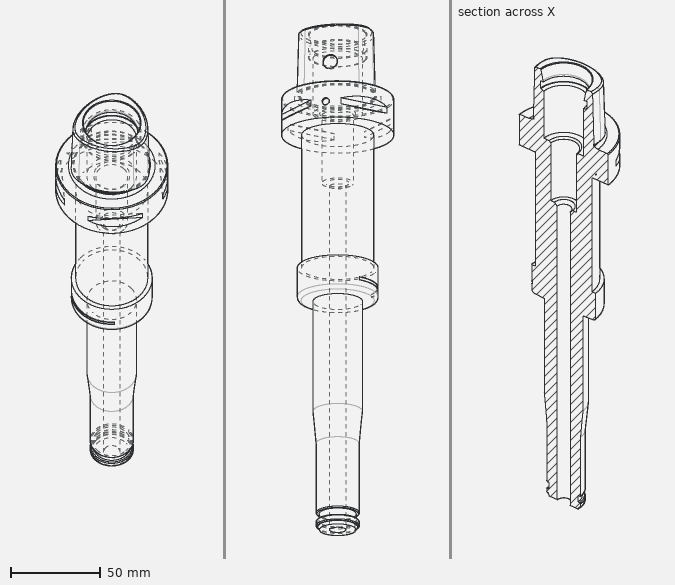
import cadquery as cq
import math

total_height = 293.5

shank_height = 38.0
shank_mean_radius = 22.0
shank_taper = 1 / 40
lobe_offset = 1.4
flat_half_angle = 33.5
lobe_count = 3
spline_steps = 8
shank_top_chamfer = 1.2

neck_height = 1.8
neck_radius = 21.0
root_height = 1.0
root_radius = 21.7
root_base_radius = 24.5

flange_diameter = 63.0
flange_height = 21.7
flange_chamfer = 0.5

slot_count = 4
slot_floor_distance = 27.5
slot_floor_height = 3.5
slot_wall_rise = 0.5
slot_drop = 12.0

shank_dimple_diameter = 8.2
shank_dimple_drop = 22.5
flange_dimple_diameter = 4.0
dimple_depth = 1.5
dimple_tip_angle = 90.0

body_diameter = 40.5
collar_diameter = 45.5
collar_top = 155.3
collar_bottom = 135.3
collar_edge_radius = 2.3
collar_underside_rise = 0.5
stem_diameter = 28.0
cone_top = 70.0
cone_bottom = 51.0
tip_diameter = 24.5
tip_groove_diameter = 20.8
tip_groove_top = 9.5
tip_groove_bottom = 5.3
tip_edge_chamfer = 0.5
nose_base_diameter = 22.3
nose_diameter = 20.5
nose_height = 1.8

mark_bottom = 141.8
mark_height = 1.8
mark_depth = 0.3

mouth_diameter = 33.0
entry_diameter = 32.0
mouth_chamfer = (mouth_diameter - entry_diameter) / 2
entry_depth = 7.3
lip_diameter = 29.0
lip_height = 1.2
relief_diameter = 33.0
relief_height = 5.0
main_bore_diameter = 28.0
seat_height = 1.0
main_bore_depth = 47.0
pilot_mouth_diameter = 20.3
pilot_diameter = 18.0
pilot_chamfer = (pilot_mouth_diameter - pilot_diameter) / 2
pilot_depth = 88.0
channel_mouth_diameter = 13.0
channel_diameter = 9.0
channel_chamfer = (channel_mouth_diameter - channel_diameter) / 2

flange_top = total_height - shank_height
flange_bottom = flange_top - flange_height
flange_radius = flange_diameter / 2


def polygon_point(mean_radius, angle):
    """Point of the three-lobed, constant-width outline; a lobe points to +X."""
    t = math.radians(angle)
    x = mean_radius * math.cos(t) + lobe_offset * (2 * math.cos(2 * t) - math.cos(4 * t))
    y = mean_radius * math.sin(t) - lobe_offset * (2 * math.sin(2 * t) + math.sin(4 * t))
    return x, y


def polygon_wire(mean_radius, z):
    """Closed outline of alternating lobe and flat curves."""
    pitch = 360 / lobe_count
    spans = []
    for lobe in range(lobe_count):
        lobe_start = lobe * pitch - pitch / 2 + flat_half_angle
        lobe_end = lobe * pitch + pitch / 2 - flat_half_angle
        spans += [(lobe_start, lobe_end), (lobe_end, lobe_end + 2 * flat_half_angle)]
    edges = []
    for start, end in spans:
        angles = [start + (end - start) * i / spline_steps for i in range(spline_steps + 1)]
        points = [cq.Vector(*polygon_point(mean_radius, a), z) for a in angles]
        edges.append(cq.Edge.makeSpline(points))
    return cq.Wire.assembleEdges(edges)


def polygon_shank():
    base = flange_top + neck_height
    chamfer_start = total_height - shank_top_chamfer
    top_radius = shank_mean_radius - shank_taper * shank_height
    lower = polygon_wire(shank_mean_radius, base)
    upper = polygon_wire(top_radius, chamfer_start)
    rim = polygon_wire(top_radius - shank_top_chamfer, total_height)
    side = cq.Solid.makeLoft([lower, upper], True)
    edge = cq.Solid.makeLoft([upper, rim], True)
    return cq.Workplane(side).union(cq.Workplane(edge))


def revolved(profile):
    """Solid of revolution about Z from (radius, z) points."""
    return cq.Workplane("XZ").polyline(profile).close().revolve(360, (0, 0), (0, 1))


def turned_body():
    collar_radius = collar_diameter / 2
    tip_radius = tip_diameter / 2
    groove_radius = tip_groove_diameter / 2
    body = revolved([
        (0, flange_top + neck_height),
        (neck_radius, flange_top + neck_height),
        (neck_radius, flange_top + root_height),
        (root_radius, flange_top + root_height),
        (root_base_radius, flange_top),
        (flange_radius - flange_chamfer, flange_top),
        (flange_radius, flange_top - flange_chamfer),
        (flange_radius, flange_bottom),
        (body_diameter / 2, flange_bottom),
        (body_diameter / 2, collar_top),
        (collar_radius, collar_top),
        (collar_radius, collar_bottom + collar_underside_rise),
        (stem_diameter / 2, collar_bottom),
        (stem_diameter / 2, cone_top),
        (tip_radius, cone_bottom),
        (tip_radius, tip_groove_top + tip_edge_chamfer),
        (tip_radius - tip_edge_chamfer, tip_groove_top),
        (groove_radius, tip_groove_top),
        (groove_radius, tip_groove_bottom),
        (tip_radius - tip_edge_chamfer, tip_groove_bottom),
        (tip_radius, tip_groove_bottom - tip_edge_chamfer),
        (tip_radius, nose_height + tip_edge_chamfer),
        (tip_radius - tip_edge_chamfer, nose_height),
        (nose_base_diameter / 2, nose_height),
        (nose_diameter / 2, 0),
        (0, 0),
    ])
    rim_centre = (0, 0, collar_bottom + collar_underside_rise)
    rim = cq.selectors.NearestToPointSelector(rim_centre)
    return body.edges(rim).fillet(collar_edge_radius)


def stepped_bore():
    lip_top = total_height - entry_depth
    relief_top = lip_top - lip_height
    seat_top = relief_top - relief_height
    main_bottom = total_height - main_bore_depth
    pilot_bottom = total_height - pilot_depth
    return revolved([
        (0, total_height),
        (mouth_diameter / 2, total_height),
        (entry_diameter / 2, total_height - mouth_chamfer),
        (lip_diameter / 2, lip_top),
        (lip_diameter / 2, relief_top),
        (relief_diameter / 2, relief_top),
        (relief_diameter / 2, seat_top),
        (entry_diameter / 2, seat_top),
        (main_bore_diameter / 2, seat_top - seat_height),
        (main_bore_diameter / 2, main_bottom),
        (pilot_mouth_diameter / 2, main_bottom),
        (pilot_diameter / 2, main_bottom - pilot_chamfer),
        (pilot_diameter / 2, pilot_bottom),
        (channel_mouth_diameter / 2, pilot_bottom),
        (channel_diameter / 2, pilot_bottom - channel_chamfer),
        (channel_diameter / 2, 0),
        (0, 0),
    ])


def gripper_slots():
    middle = flange_top - slot_drop
    floor_half = slot_floor_height / 2
    outer_half = floor_half + slot_wall_rise * (flange_radius - slot_floor_distance)
    cutter = (
        cq.Workplane("XZ")
        .polyline([
            (slot_floor_distance, middle - floor_half),
            (flange_radius, middle - outer_half),
            (flange_radius, middle + outer_half),
            (slot_floor_distance, middle + floor_half),
        ])
        .close()
        .extrude(flange_radius, both=True)
    )
    slots = cq.Workplane()
    for i in range(slot_count):
        angle = (i + 0.5) * 360 / slot_count
        slots = slots.add(cutter.rotate((0, 0, 0), (0, 0, 1), angle))
    return slots.combine()


def dimple(diameter, surface_x, z):
    """Short round hole entering along +X, ending in a drill point."""
    radius = diameter / 2
    tip_length = radius / math.tan(math.radians(dimple_tip_angle / 2))
    floor_x = surface_x + dimple_depth
    profile = [
        (surface_x - dimple_depth, z),
        (surface_x - dimple_depth, z + radius),
        (floor_x, z + radius),
        (floor_x + tip_length, z),
    ]
    return cq.Workplane("XZ").polyline(profile).close().revolve(360, (0, z), (1, z))


def marking_groove():
    """Quarter-turn groove centred on -Y."""
    outer = collar_diameter / 2
    ring = (
        cq.Workplane("XY", origin=(0, 0, mark_bottom))
        .circle(outer)
        .circle(outer - mark_depth)
        .extrude(mark_height)
    )
    sector = (
        cq.Workplane("XY", origin=(0, 0, mark_bottom))
        .polyline([(0, 0), (-collar_diameter, -collar_diameter), (collar_diameter, -collar_diameter)])
        .close()
        .extrude(mark_height)
    )
    return ring.intersect(sector)


shank_dimple_z = total_height - shank_dimple_drop
shank_flat_x = lobe_offset - shank_mean_radius + shank_taper * (shank_dimple_z - flange_top)

result = (
    turned_body()
    .union(polygon_shank())
    .cut(stepped_bore())
    .cut(gripper_slots())
    .cut(dimple(shank_dimple_diameter, shank_flat_x, shank_dimple_z))
    .cut(dimple(flange_dimple_diameter, -flange_radius, flange_top - slot_drop))
    .cut(marking_groove())
)